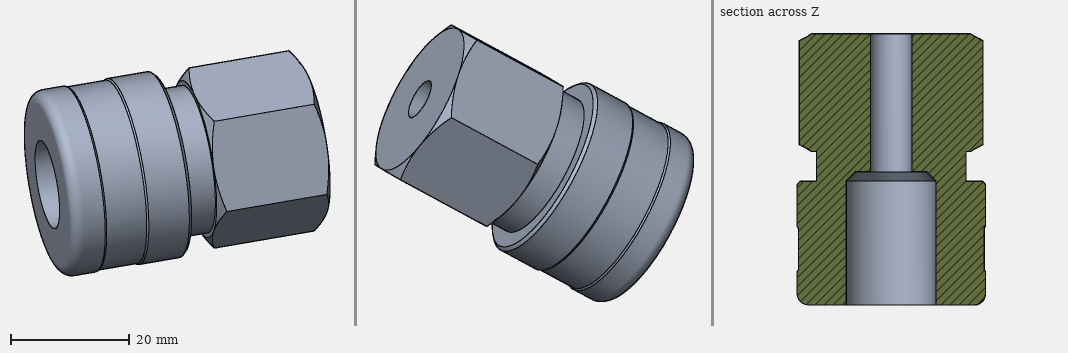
import cadquery as cq
import math

total_length = 46.0
hex_length = 20.0
sleeve_length = 21.0
hex_start = total_length - hex_length

sleeve_radius = 16.0
nose_fillet = 2.0
rear_chamfer = 0.55
band_depth = 0.25
band_taper = 0.3
band_front = 5.65
band_rear = 13.35
band_radius = sleeve_radius - band_depth
neck_radius = 12.7

hex_across_flats = 27.0
hex_across_corners = hex_across_flats / math.cos(math.radians(30))
hex_chamfer_angle = 30.0

socket_radius = 7.6
socket_depth = sleeve_length
seat_radius = 6.03
seat_cone_length = socket_radius - seat_radius
through_radius = 3.5


def revolve_about_y(profile):
    """Revolve a closed (radius, Y) profile about the Y axis."""
    return profile.close().revolve(360, (0, 0, 0), (0, 1, 0))


def make_sleeve():
    """Sleeve with rounded nose and shallow waist band, plus the neck behind it."""
    arc_offset = nose_fillet * (1 - math.sqrt(0.5))
    profile = (
        cq.Workplane("XY")
        .moveTo(0, 0)
        .lineTo(sleeve_radius - nose_fillet, 0)
        .threePointArc((sleeve_radius - arc_offset, arc_offset), (sleeve_radius, nose_fillet))
        .lineTo(sleeve_radius, band_front)
        .lineTo(band_radius, band_front + band_taper)
        .lineTo(band_radius, band_rear - band_taper)
        .lineTo(sleeve_radius, band_rear)
        .lineTo(sleeve_radius, sleeve_length - rear_chamfer)
        .lineTo(sleeve_radius - rear_chamfer, sleeve_length)
        .lineTo(neck_radius, sleeve_length)
        .lineTo(neck_radius, hex_start)
        .lineTo(0, hex_start)
    )
    return revolve_about_y(profile)


def make_hex():
    """Hexagon with corners on X and conical chamfers at both ends."""
    prism = (
        cq.Workplane("XZ", origin=(0, hex_start, 0))
        .polygon(6, hex_across_corners)
        .extrude(-hex_length)
    )
    face_radius = hex_across_flats / 2
    corner_radius = hex_across_corners / 2
    chamfer_length = (corner_radius - face_radius) * math.tan(math.radians(hex_chamfer_angle))
    envelope = revolve_about_y(
        cq.Workplane("XY")
        .moveTo(0, hex_start)
        .lineTo(face_radius, hex_start)
        .lineTo(corner_radius, hex_start + chamfer_length)
        .lineTo(corner_radius, total_length - chamfer_length)
        .lineTo(face_radius, total_length)
        .lineTo(0, total_length)
    )
    return prism.intersect(envelope)


def make_bore():
    """Straight socket, conical seat with a flat floor, and a through hole."""
    seat_floor = socket_depth + seat_cone_length
    return revolve_about_y(
        cq.Workplane("XY")
        .moveTo(0, 0)
        .lineTo(socket_radius, 0)
        .lineTo(socket_radius, socket_depth)
        .lineTo(seat_radius, seat_floor)
        .lineTo(through_radius, seat_floor)
        .lineTo(through_radius, total_length)
        .lineTo(0, total_length)
    )


result = make_sleeve().union(make_hex()).cut(make_bore())